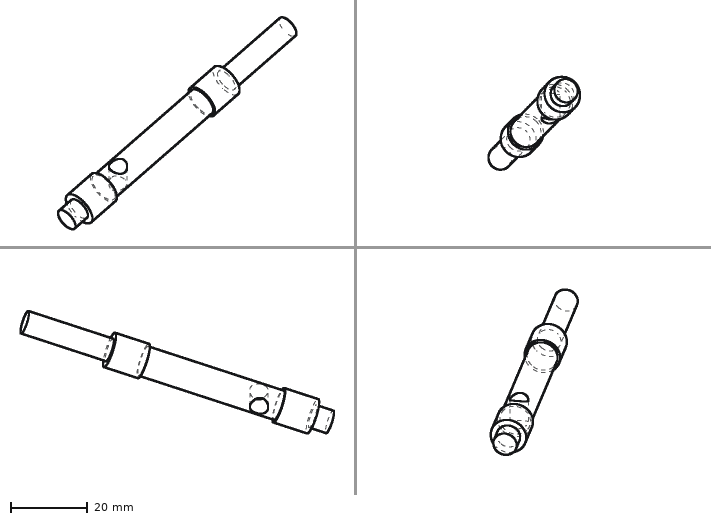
import cadquery as cq

total_length = 85.7
short_journal_length = 4.8
collar_length = 9.5
shaft_length = 38.1

journal_diameter = 6.3
collar_diameter = 9.5
shaft_diameter = 8.15
cross_hole_diameter = 4.8

cross_hole_offset = 5.6

front_end = -total_length / 2
front_collar_start = front_end + short_journal_length
shaft_start = front_collar_start + collar_length
rear_collar_start = shaft_start + shaft_length
rear_journal_start = rear_collar_start + collar_length
rear_end = total_length / 2
cross_hole_y = shaft_start + cross_hole_offset


def cylinder_along_y(start, end, diameter):
    """Solid cylinder on the Y axis between two Y positions."""
    base = cq.Workplane(cq.Plane(origin=(0, start, 0), xDir=(1, 0, 0), normal=(0, 1, 0)))
    return base.circle(diameter / 2).extrude(end - start)


spindle = (
    cylinder_along_y(front_end, front_collar_start, journal_diameter)
    .union(cylinder_along_y(front_collar_start, shaft_start, collar_diameter))
    .union(cylinder_along_y(shaft_start, rear_collar_start, shaft_diameter))
    .union(cylinder_along_y(rear_collar_start, rear_journal_start, collar_diameter))
    .union(cylinder_along_y(rear_journal_start, rear_end, journal_diameter))
)

cross_hole = (
    cq.Workplane("XY")
    .center(0, cross_hole_y)
    .circle(cross_hole_diameter / 2)
    .extrude(shaft_diameter, both=True)
)

result = spindle.cut(cross_hole)